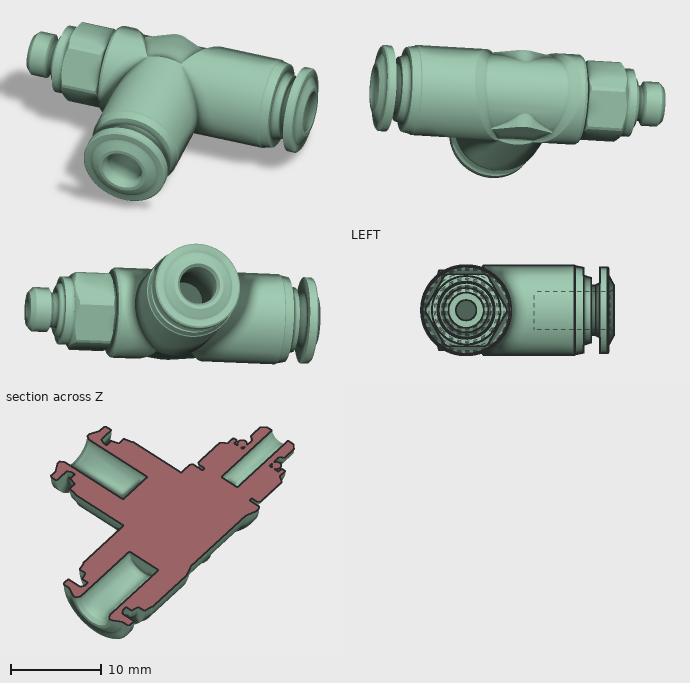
import cadquery as cq
import math

overall_length = 32.5
centre_x = 16.12
arm_reach = overall_length - centre_x
body_radius = 5.0

shell_end = 11.95
shell_lip = 0.1
cap_end = 13.0
cap_radius = 4.7
collar_end = 13.88
collar_root_radius = 3.85
collar_tip_radius = 3.58
neck_radius = 2.75
neck_straight_end = 14.33
flare_radius = 3.02
flange_start = 14.82
flange_end = 15.8
flange_radius = 4.78
flange_chamfer = 0.15
bore_radius = 2.08
bore_mouth_radius = 2.37
bore_mouth_depth = 0.5
bore_floor = 7.48

stem_radius = 2.47
stem_tip_radius = 1.95
stem_tip_length = 0.52
stem_end = 2.2
undercut_start = 2.5
undercut_radius = 1.95
seal_start = 3.05
seal_radius = 3.02
seal_cord_radius = 0.55
seal_recess_radius = 3.2
seal_recess_floor = 4.13
washer_start = 3.58
washer_radius = 3.77
stem_bore_radius = 1.15
stem_bore_depth = 8.78

hex_start = 4.58
hex_end = 9.05
hex_across_flats = 7.95
hex_corner_radius = 4.5
hex_front_radius = 3.8
hex_front_chamfer = 0.45
hex_back_radius = 4.15
hex_back_chamfer = 0.2
hex_neck_radius = 3.4

body_start = 9.35
body_chamfer_length = 0.3
body_chamfer_height = 0.2

waist_radius = 4.52
wall_outer_offset = 3.12
wall_outer_slope = 0.58
wall_inner_offset = 2.8
wall_inner_slope = 0.42
cut_margin = 0.32
branch_nose_y = -1.95
branch_nose_length = 0.35

pad_height = 4.45
pad_side_x = 3.4
pad_shoulder_angle = 28.5
pad_tip_radius = 1.62
pad_tip_y = 3.0
pad_foot_half_width = 1.98
pad_draft = 15.0


def turned(points):
    """Revolve an outline of (x, radius) points, closed along the X axis, about X."""
    return cq.Workplane("XY").polyline(points).close().revolve(360, (0, 0, 0), (1, 0, 0))


def cylinder(start, end, radius):
    return cq.Workplane("YZ", origin=(start, 0, 0)).circle(radius).extrude(end - start)


def socket_arm(inner_end):
    """Barrel with cap, collar and release ring along +X; inner_end outlines its inner end."""
    return turned(inner_end + [
        (shell_end, body_radius),
        (shell_end + shell_lip, body_radius - shell_lip),
        (cap_end, cap_radius),
        (cap_end, collar_root_radius),
        (collar_end, collar_tip_radius),
        (collar_end, neck_radius),
        (neck_straight_end, neck_radius),
        (flange_start, flare_radius),
        (flange_start, flange_radius),
        (flange_end - flange_chamfer, flange_radius),
        (flange_end, flange_radius - flange_chamfer),
        (flange_end, collar_root_radius),
        (arm_reach, neck_radius),
        (arm_reach, 0),
    ])


def socket_bore():
    mouth = arm_reach - bore_mouth_depth
    return turned([
        (bore_floor, 0),
        (bore_floor, bore_radius),
        (mouth, bore_radius),
        (arm_reach, bore_mouth_radius),
        (arm_reach, 0),
    ])


def stem():
    return (
        cq.Workplane("XY")
        .lineTo(0, stem_tip_radius)
        .lineTo(stem_tip_length, stem_radius)
        .lineTo(stem_end, stem_radius)
        .lineTo(undercut_start, undercut_radius)
        .lineTo(seal_recess_floor, undercut_radius)
        .lineTo(seal_recess_floor, seal_recess_radius)
        .lineTo(washer_start, seal_recess_radius)
        .lineTo(washer_start, washer_radius)
        .lineTo(hex_start, washer_radius)
        .lineTo(hex_start, hex_neck_radius)
        .lineTo(body_start, hex_neck_radius)
        .lineTo(body_start, 0)
        .close()
        .revolve(360, (0, 0, 0), (1, 0, 0))
    )


def seal_ring():
    """O-ring bedded slightly into the stem and the recess floor."""
    return (
        cq.Workplane("XY")
        .moveTo(seal_start + seal_cord_radius, seal_radius - seal_cord_radius)
        .circle(seal_cord_radius)
        .revolve(360, (0, 0, 0), (1, 0, 0))
    )


def hexagon():
    prism = (
        cq.Workplane("YZ", origin=(hex_start, 0, 0))
        .polygon(6, hex_across_flats / math.cos(math.radians(30)))
        .extrude(hex_end - hex_start)
    )
    envelope = turned([
        (hex_start, 0),
        (hex_start, hex_front_radius),
        (hex_start + hex_front_chamfer, hex_corner_radius),
        (hex_end - hex_back_chamfer, hex_corner_radius),
        (hex_end, hex_back_radius),
        (hex_end, 0),
    ])
    return prism.intersect(envelope)


def wall_section(offset, slope, radius):
    """Slanted section of the run: part of an ellipse closed by a chord at the branch nose."""
    stretch = math.hypot(slope, 1)
    start_angle = -math.degrees(math.acos(branch_nose_y / radius))
    plane = cq.Plane(origin=(-offset, 0, 0), xDir=(-slope, 1, 0), normal=(1, slope, 0))
    return (
        cq.Workplane(plane)
        .ellipseArc(radius * stretch, radius, start_angle, -start_angle, startAtCurrent=False)
        .close()
        .val()
    )


def waist_wall():
    """Sloping wall on the stem side, from the full barrel down to the waist."""
    return cq.Workplane(cq.Solid.makeLoft([
        wall_section(wall_outer_offset, wall_outer_slope, body_radius),
        wall_section(wall_inner_offset, wall_inner_slope, waist_radius),
    ], True))


def waist_gap():
    """Wedge between the top edges of both walls, open towards +Y."""
    reach = body_radius + cut_margin
    far_half = wall_outer_offset + wall_outer_slope * reach
    near_half = wall_outer_offset - wall_outer_slope * reach
    return (
        cq.Workplane("XY")
        .polyline([(-far_half, reach), (far_half, reach), (near_half, -reach), (-near_half, -reach)])
        .close()
        .extrude(reach, both=True)
    )


def pad():
    """Upper pad, widening downwards until it sinks into the waist."""
    shoulder = math.radians(pad_shoulder_angle)
    tip_x = pad_tip_radius * math.sin(shoulder)
    arc_end_y = pad_tip_y - pad_tip_radius * (1 - math.cos(shoulder))
    side_y = arc_end_y - (pad_side_x - tip_x) * math.tan(shoulder)
    return (
        cq.Workplane("XY", origin=(0, 0, pad_height))
        .moveTo(-pad_foot_half_width, branch_nose_y)
        .lineTo(pad_foot_half_width, branch_nose_y)
        .lineTo(pad_side_x, side_y)
        .lineTo(tip_x, arc_end_y)
        .threePointArc((0, pad_tip_y), (-tip_x, arc_end_y))
        .lineTo(-pad_side_x, side_y)
        .close()
        .extrude(-pad_height, taper=-pad_draft)
    )


barrel_start = body_start - centre_x
stem_side = turned([
    (barrel_start, 0),
    (barrel_start, body_radius - body_chamfer_height),
    (barrel_start + body_chamfer_length, body_radius),
    (0, body_radius),
    (0, 0),
])
run = stem_side.union(socket_arm([(0, 0), (0, body_radius)])).cut(waist_gap())

waist_half_length = wall_outer_offset + wall_outer_slope * body_radius
waist_flats = cq.Workplane("XY").box(2 * waist_half_length, 2 * body_radius, 2 * pad_height)
waist = cylinder(-waist_half_length, waist_half_length, waist_radius).intersect(waist_flats)

branch_start = -branch_nose_y
branch_nose = branch_start - branch_nose_length
branch = socket_arm([
    (branch_nose, 0),
    (branch_nose, pad_height),
    (branch_start, body_radius),
]).rotate((0, 0, 0), (0, 0, 1), -90)

tee = run.union(waist).union(branch)
tee = tee.union(waist_wall()).union(waist_wall().mirror("YZ"))
tee = tee.union(pad()).union(pad().mirror("XY"))
tee = tee.cut(socket_bore()).cut(socket_bore().rotate((0, 0, 0), (0, 0, 1), -90))

result = (
    tee.translate((centre_x, 0, 0))
    .union(stem())
    .union(seal_ring())
    .union(hexagon())
    .cut(cylinder(0, stem_bore_depth, stem_bore_radius))
)